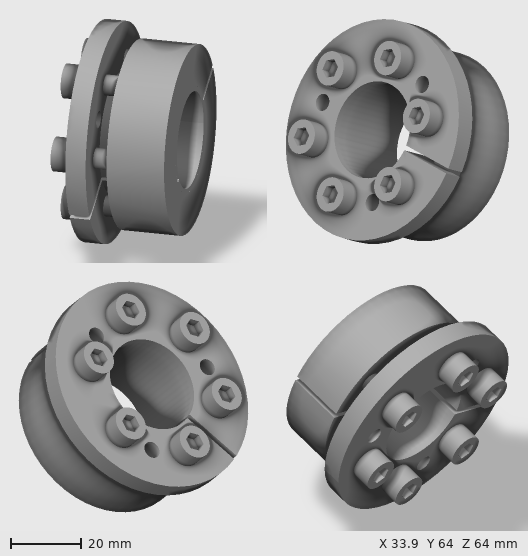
import cadquery as cq
import math


flange_diameter = 64.0
flange_thickness = 6.0
bore_diameter = 28.0
taper_large_radius = 17.35
taper_angle = 5.0

ring_diameter = 55.0
ring_width = 17.0
ring_gap = 4.9
slit_width = 1.5

pitch_diameter = 42.5
screw_count = 6
head_diameter = 10.0
head_height = 6.0
shank_diameter = 6.0
socket_across_flats = 5.0
socket_depth = 3.0
jack_hole_diameter = 5.0
jack_hole_angles = [30, 150, 270]

flange_slit_angle = 210
ring_slit_angle = 30

ring_start = flange_thickness + ring_gap
ring_end = ring_start + ring_width


def taper_radius(x):
    """Radius of the conical fit between sleeve and ring at position x."""
    return taper_large_radius - (x - flange_thickness) * math.tan(math.radians(taper_angle))


def polar_point(angle):
    """(Y, Z) point on the pitch circle."""
    radius = pitch_diameter / 2
    return radius * math.cos(math.radians(angle)), radius * math.sin(math.radians(angle))


def cylinder(x_start, x_end, diameter, centers):
    """Cylinders along X, one at each (Y, Z) centre."""
    plane = cq.Workplane("YZ", origin=(x_start, 0, 0))
    return plane.pushPoints(centers).circle(diameter / 2).extrude(x_end - x_start)


def revolve_about_x(profile):
    """Solid of revolution from a closed list of (x, radius) points."""
    return cq.Workplane("XY").polyline(profile).close().revolve(360, (0, 0, 0), (1, 0, 0))


def radial_slit(angle):
    """Cutter for a full-length slit running outwards from the axis."""
    cutter = cq.Workplane("XY").box(ring_end, flange_diameter, slit_width, centered=(False, False, True))
    return cutter.rotate((0, 0, 0), (1, 0, 0), angle)


screw_centers = [polar_point(360 / screw_count * index) for index in range(screw_count)]
jack_hole_centers = [polar_point(angle) for angle in jack_hole_angles]


def make_sleeve():
    """Flange and taper sleeve in one piece, slit along one side."""
    bore_radius = bore_diameter / 2
    body = revolve_about_x([
        (0, bore_radius),
        (0, flange_diameter / 2),
        (flange_thickness, flange_diameter / 2),
        (flange_thickness, taper_large_radius),
        (ring_end, taper_radius(ring_end)),
        (ring_end, bore_radius),
    ])
    body = body.cut(cylinder(0, flange_thickness, shank_diameter, screw_centers))
    body = body.cut(cylinder(0, flange_thickness, jack_hole_diameter, jack_hole_centers))
    return body.cut(radial_slit(flange_slit_angle))


def make_ring():
    """Outer ring with a conical bore, screw holes and one slit."""
    body = revolve_about_x([
        (ring_start, taper_radius(ring_start)),
        (ring_start, ring_diameter / 2),
        (ring_end, ring_diameter / 2),
        (ring_end, taper_radius(ring_end)),
    ])
    body = body.cut(cylinder(ring_start, ring_end, shank_diameter, screw_centers))
    return body.cut(radial_slit(ring_slit_angle))


def make_screw(center):
    """Socket head screw reaching to the far face of the ring; two socket corners lie along Y."""
    head = cylinder(-head_height, 0, head_diameter, [center])
    shank = cylinder(0, ring_end, shank_diameter, [center])
    socket_across_corners = socket_across_flats / math.cos(math.radians(30))
    socket = (
        cq.Workplane("YZ", origin=(-head_height, 0, 0))
        .pushPoints([center])
        .polygon(6, socket_across_corners)
        .extrude(socket_depth)
    )
    return head.union(shank).cut(socket)


sleeve = make_sleeve()
ring = make_ring()
screws = [make_screw(center) for center in screw_centers]

result = cq.Compound.makeCompound([sleeve.val(), ring.val(), *[screw.val() for screw in screws]])